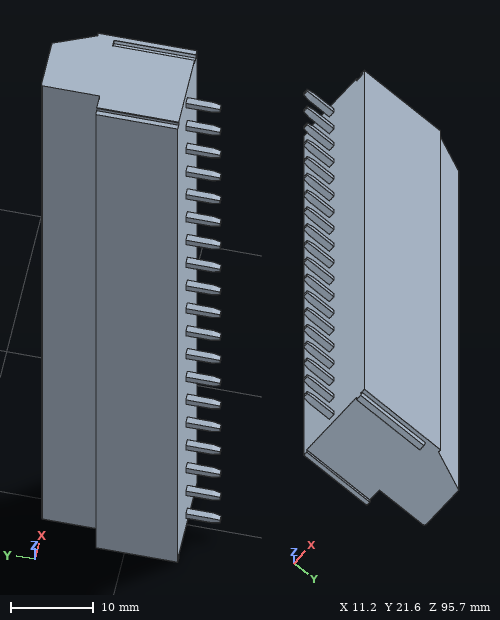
import cadquery as cq

total_height = 95.65
width = 11.2
total_depth = 21.6

pole_count = 19
body_height = 95.0
pitch = body_height / pole_count
joint_height = total_height - body_height

body_depth = 17.4
shelf_depth = 10.1
step_width = 2.3
corner_chamfer = 0.2
slope_start_x = 8.6
slope_end_x = 10.8
slope_end_y = 12.2

edge_joint_right = 0.6
edge_bead = 0.1
inner_joint_left = 9.8
inner_joint_right = 10.5
inner_bead = 0.3

pin_width = 0.9
pin_height = 1.0
pin_tip_width = 0.7
pin_tip_height = 0.6
pin_tip_length = 1.0
pin_x = 5.2
pin_length = total_depth - body_depth


def make_housing():
    outline = [
        (0, 0),
        (width, 0),
        (width, slope_end_y),
        (slope_end_x, slope_end_y),
        (slope_start_x, body_depth),
        (step_width + corner_chamfer, body_depth),
        (step_width, body_depth - corner_chamfer),
        (step_width, shelf_depth),
        (0, shelf_depth),
    ]
    return cq.Workplane("XY").polyline(outline).close().extrude(body_height)


def make_joint_bar(left, right, bead, top_z):
    """Bar along Y below top_z whose right flank bulges by bead at half height."""
    bottom_z = top_z - joint_height
    outline = [
        (left, top_z),
        (right, top_z),
        (right + bead, (top_z + bottom_z) / 2),
        (right, bottom_z),
        (left, bottom_z),
    ]
    return cq.Workplane("XZ").polyline(outline).close().extrude(-shelf_depth)


def make_joint(top_z):
    edge_bar = make_joint_bar(0, edge_joint_right, edge_bead, top_z)
    inner_bar = make_joint_bar(inner_joint_left, inner_joint_right, inner_bead, top_z)
    return edge_bar, inner_bar


def make_pin(pin_z):
    shaft_length = pin_length - pin_tip_length
    shaft = cq.Workplane("XZ").center(pin_x, pin_z).rect(pin_width, pin_height).extrude(shaft_length)
    tip = (
        shaft.faces("<Y").workplane(centerOption="CenterOfMass")
        .rect(pin_width, pin_height)
        .workplane(offset=pin_tip_length)
        .rect(pin_tip_width, pin_tip_height)
        .loft(combine=False)
    )
    return shaft.union(tip)


result = make_housing()
for groove in make_joint(body_height):
    result = result.cut(groove)
for tongue in make_joint(0):
    result = result.union(tongue)
for pole in range(pole_count):
    result = result.union(make_pin((pole + 0.5) * pitch))